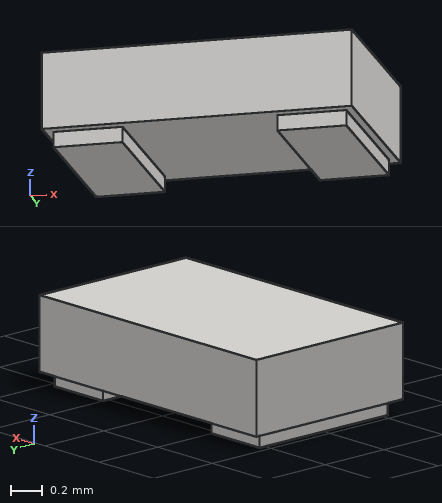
import cadquery as cq

body_length = 2.0
body_width = 1.25
body_height = 0.5

pad_length = 0.445
pad_width = 1.09
pad_thickness = 0.1
pad_end_inset = 0.055

pad_center_x = body_length / 2 - pad_end_inset - pad_length / 2


def make_body():
    """Rectangular block standing on top of the pads."""
    return (
        cq.Workplane("XY")
        .workplane(offset=pad_thickness)
        .rect(body_length, body_width)
        .extrude(body_height)
    )


def make_pad(side):
    """Flat pad at the -X end (side = -1) or the +X end (side = 1)."""
    return (
        cq.Workplane("XY")
        .center(side * pad_center_x, 0)
        .rect(pad_length, pad_width)
        .extrude(pad_thickness)
    )


body = make_body()
pads = [make_pad(side) for side in (-1, 1)]

result = cq.Compound.makeCompound([body.val(), *[pad.val() for pad in pads]])